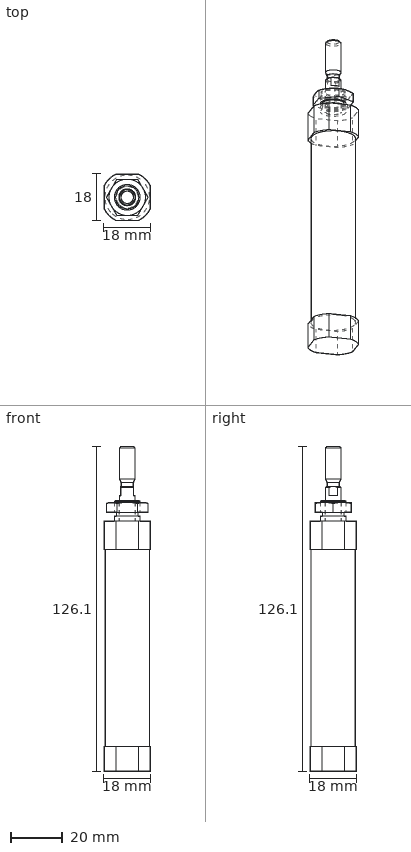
import cadquery as cq
import math

TOTAL_HEIGHT = 126.1
REAR_CAP_TOP = 9.7
FRONT_CAP_BOTTOM = 86.0
FRONT_CAP_TOP = 97.1

CAP_ACROSS_FLATS = 18.0
CAP_DIAMETER = 20.0
TUBE_DIAMETER = 17.3

NUT_BOTTOM = 100.5

NECK_DIAMETER = 10.0
NECK_TOP = 105.2
NECK_CHAMFER = 0.5
UNDERCUT_DIAMETER = 8.5
UNDERCUT_BOTTOM = 99.0
UNDERCUT_TOP = NUT_BOTTOM

NUT_ACROSS_FLATS = 14.0
NUT_HEIGHT = 3.8
NUT_CHAMFER_DIAMETER = 14.1
NUT_CHAMFER_HEIGHT = 0.4

ROD_DIAMETER = 6.0
ROD_BORE_DIAMETER = 6.5
ROD_BOTTOM = FRONT_CAP_TOP
ROD_TIP_CHAMFER = 0.6
RELIEF_DIAMETER = 4.8
RELIEF_BOTTOM = 110.5
RELIEF_TOP = 112.0
THREAD_RUNOUT_TOP = 113.4
SHOULDER_CHAMFER = 0.4
FLATS_WIDTH = 5.0
FLATS_BOTTOM = 106.9


def disc(diameter, bottom, top):
    """Cylinder on the Z axis between two levels."""
    return cq.Workplane("XY").workplane(offset=bottom).circle(diameter / 2).extrude(top - bottom)


def make_cap(bottom, top):
    """Round end cap with four flats."""
    square = (
        cq.Workplane("XY")
        .workplane(offset=bottom)
        .rect(CAP_ACROSS_FLATS, CAP_ACROSS_FLATS)
        .extrude(top - bottom)
    )
    return square.intersect(disc(CAP_DIAMETER, bottom, top))


def make_neck():
    """Collar and thread separated by an undercut, with a chamfered top edge."""
    collar = disc(NECK_DIAMETER, FRONT_CAP_TOP, UNDERCUT_BOTTOM)
    undercut = disc(UNDERCUT_DIAMETER, UNDERCUT_BOTTOM, UNDERCUT_TOP)
    thread = disc(NECK_DIAMETER, UNDERCUT_TOP, NECK_TOP).faces(">Z").chamfer(NECK_CHAMFER)
    return collar.union(undercut).union(thread)


def make_housing():
    """Tube, both end caps and the neck, with a blind bore for the rod."""
    tube = disc(TUBE_DIAMETER, REAR_CAP_TOP, FRONT_CAP_BOTTOM)
    rear_cap = make_cap(0, REAR_CAP_TOP)
    front_cap = make_cap(FRONT_CAP_BOTTOM, FRONT_CAP_TOP)
    rod_bore = disc(ROD_BORE_DIAMETER, ROD_BOTTOM, NECK_TOP)
    return rear_cap.union(tube).union(front_cap).union(make_neck()).cut(rod_bore)


def make_nut():
    """Hexagonal nut with two corners on the X axis and its top corners chamfered."""
    nut_top = NUT_BOTTOM + NUT_HEIGHT
    corner_diameter = 2 * NUT_ACROSS_FLATS / math.sqrt(3)
    hexagon = (
        cq.Workplane("XY")
        .workplane(offset=NUT_BOTTOM)
        .polygon(6, corner_diameter)
        .extrude(NUT_HEIGHT)
    )
    chamfer_width = (corner_diameter - NUT_CHAMFER_DIAMETER) / 2
    chamfer_envelope = (
        disc(corner_diameter, NUT_BOTTOM, nut_top)
        .faces(">Z")
        .edges()
        .chamfer(NUT_CHAMFER_HEIGHT, chamfer_width)
    )
    thread_bore = disc(NECK_DIAMETER, NUT_BOTTOM, nut_top)
    return hexagon.intersect(chamfer_envelope).cut(thread_bore)


def make_rod():
    """Stepped rod turned from one profile, then milled with two flats facing X."""
    rod_radius = ROD_DIAMETER / 2
    relief_radius = RELIEF_DIAMETER / 2
    rod = (
        cq.Workplane("XZ")
        .moveTo(0, ROD_BOTTOM)
        .lineTo(rod_radius, ROD_BOTTOM)
        .lineTo(rod_radius, RELIEF_BOTTOM - SHOULDER_CHAMFER)
        .lineTo(rod_radius - SHOULDER_CHAMFER, RELIEF_BOTTOM)
        .lineTo(relief_radius, RELIEF_BOTTOM)
        .lineTo(relief_radius, RELIEF_TOP)
        .lineTo(rod_radius, THREAD_RUNOUT_TOP)
        .lineTo(rod_radius, TOTAL_HEIGHT - ROD_TIP_CHAMFER)
        .lineTo(rod_radius - ROD_TIP_CHAMFER, TOTAL_HEIGHT)
        .lineTo(0, TOTAL_HEIGHT)
        .close()
        .revolve(360, (0, 0, 0), (0, 1, 0))
    )
    flats_height = RELIEF_BOTTOM - FLATS_BOTTOM
    flats_level = cq.Workplane("XY").workplane(offset=FLATS_BOTTOM)
    flats_cutter = (
        flats_level.rect(2 * ROD_DIAMETER, 2 * ROD_DIAMETER)
        .extrude(flats_height)
        .cut(flats_level.rect(FLATS_WIDTH, 2 * ROD_DIAMETER).extrude(flats_height))
    )
    return rod.cut(flats_cutter)


housing = make_housing()
nut = make_nut()
rod = make_rod()

result = cq.Compound.makeCompound([housing.val(), nut.val(), rod.val()])